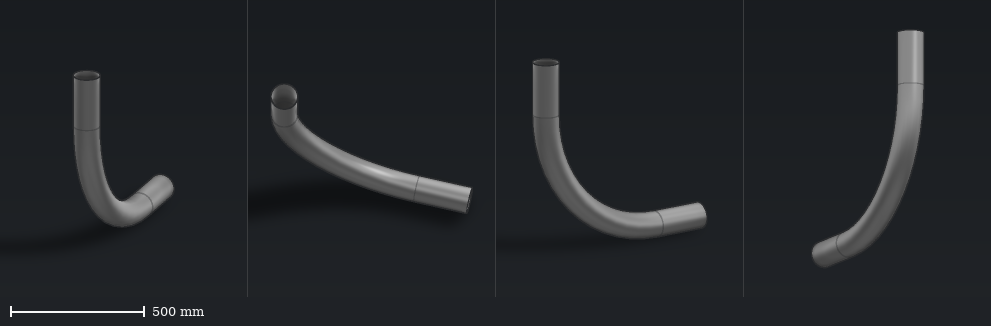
import cadquery as cq
import math

overall_length = 762.0
outer_diameter = 101.0
inner_diameter = 98.0
bend_radius = 508.0

outer_radius = outer_diameter / 2
inner_radius = inner_diameter / 2
leg_end = overall_length - outer_radius
bend_offset = bend_radius * (1 - math.cos(math.pi / 4))

centreline = (
    cq.Workplane("YZ")
    .moveTo(0, leg_end)
    .lineTo(0, bend_radius)
    .threePointArc((bend_offset, bend_offset), (bend_radius, 0))
    .lineTo(leg_end, 0)
)

result = (
    cq.Workplane("XY", origin=(0, 0, leg_end))
    .circle(outer_radius)
    .circle(inner_radius)
    .sweep(centreline)
)